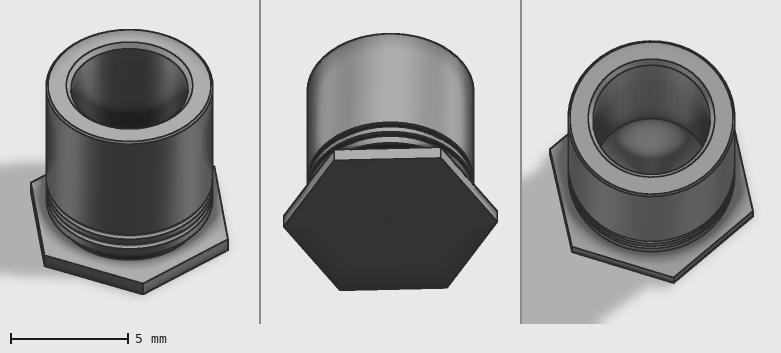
import cadquery as cq
import math

hex_across_corners = 9.12
flange_top = 0.64

total_height = 8.0
body_diameter = 7.12
groove_diameter = 6.61
neck_diameter = 6.1
rim_chamfer = 0.08

neck_top = 1.37
lower_ring_top = 1.77
lower_groove_top = 2.03
upper_ring_top = 2.335
upper_groove_top = 2.6

bore_diameter = 5.0
mouth_diameter = 5.4
mouth_chamfer = (mouth_diameter - bore_diameter) / 2
outlet_diameter = 0.14
drill_point_angle = 118


def make_flange():
    return cq.Workplane("XY").polygon(6, hex_across_corners).extrude(flange_top)


def make_sleeve():
    """Stack the turned steps from the flange up to the rim."""
    sleeve = cq.Workplane("XY")
    steps = [
        (neck_diameter, flange_top, neck_top),
        (body_diameter, neck_top, lower_ring_top),
        (groove_diameter, lower_ring_top, lower_groove_top),
        (body_diameter, lower_groove_top, upper_ring_top),
        (groove_diameter, upper_ring_top, upper_groove_top),
        (body_diameter, upper_groove_top, total_height),
    ]
    for diameter, bottom, top in steps:
        step = cq.Workplane("XY", origin=(0, 0, bottom)).circle(diameter / 2).extrude(top - bottom)
        sleeve = sleeve.add(step)
    return sleeve.combine().faces(">Z").edges().chamfer(rim_chamfer)


def make_bore():
    """Revolve half of the bore section: small outlet, cone, wall and chamfered mouth."""
    bore_radius = bore_diameter / 2
    outlet_radius = outlet_diameter / 2
    cone_height = (bore_radius - outlet_radius) / math.tan(math.radians(drill_point_angle / 2))
    return (
        cq.Workplane("XZ")
        .moveTo(0, 0)
        .lineTo(outlet_radius, 0)
        .lineTo(bore_radius, cone_height)
        .lineTo(bore_radius, total_height - mouth_chamfer)
        .lineTo(mouth_diameter / 2, total_height)
        .lineTo(0, total_height)
        .close()
        .revolve(360, (0, 0, 0), (0, 1, 0))
    )


result = make_flange().union(make_sleeve()).cut(make_bore())